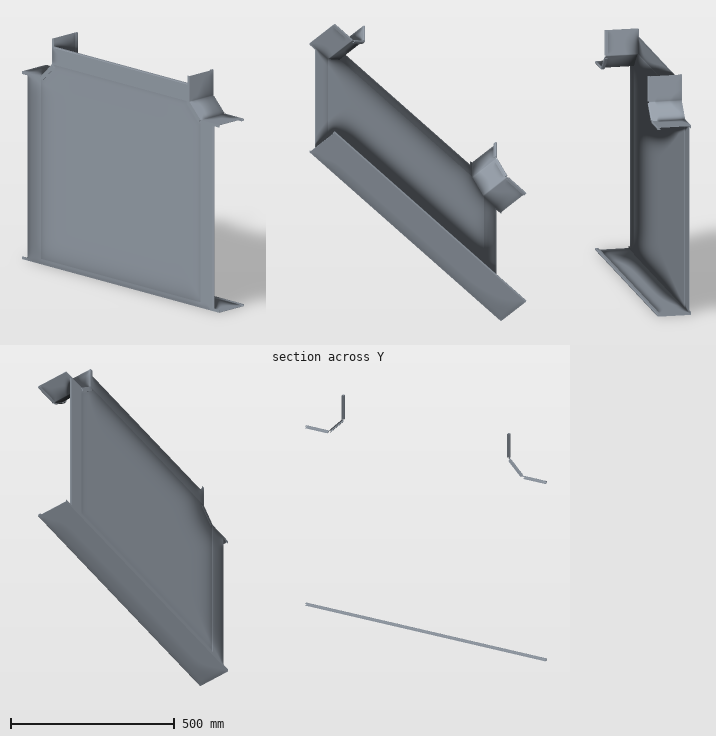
import cadquery as cq
import math

length = 854.0
depth = 107.0
height = 725.0

sheet = 1.45
hem_height = 8.0
hem_return = 10.0
hem_gap = 2.5
arm_flange = 8.5
foot_flange = 17.0
corner_flange = 14.0

arm = 81.0
slant = 48.0
bend_radius = 3.0

tongue = 58.0
lip = 5.0
lip_drop = sheet / 2
shoulder = 7.0

half_length = length / 2
knee_x = half_length - arm
neck_x = knee_x - slant
knee_z = height - arm - slant
neck_z = height - arm
rim_start_y = depth - hem_height / 2
miter = sheet * math.tan(math.pi / 8)


def block(x_range, y_range, z_range):
    """Box between the given limits."""
    spans = [high - low for low, high in (x_range, y_range, z_range)]
    return cq.Workplane("XY").box(*spans, centered=False).translate((x_range[0], y_range[0], z_range[0]))


def front_plate(points, y_start):
    """Sheet lying in an XZ plane and growing towards +Y from y_start."""
    return cq.Workplane("XZ", origin=(0, y_start, 0)).polyline(points).close().extrude(-sheet)


def mirrored(points):
    """The same XZ points on the other side of X = 0, in reverse order."""
    return [(-x, z) for x, z in reversed(points)]


def rim(run):
    """Hem along X: starts at the origin on the wall's outer face (local Y = 0 side) and curls to local +Z."""
    outer = hem_height / 2
    inner = outer - sheet
    end_y = depth - hem_return
    return (
        cq.Workplane("YZ")
        .moveTo(end_y, 0)
        .lineTo(rim_start_y, 0)
        .threePointArc((depth, outer), (rim_start_y, hem_height))
        .lineTo(end_y, hem_height)
        .lineTo(end_y, hem_height - sheet)
        .lineTo(rim_start_y, hem_height - sheet)
        .threePointArc((rim_start_y + inner, outer), (rim_start_y, sheet))
        .lineTo(end_y, sheet)
        .close()
        .extrude(run)
    )


def placed_rim(start, run, angle):
    """Rim that starts at an XZ point and runs at an angle above +X, curling to the left of that direction."""
    return rim(run).rotate((0, 0, 0), (0, 1, 0), -angle).translate((start[0], 0, start[1]))


def make_foot():
    wall = block((-half_length, half_length), (0, rim_start_y), (0, sheet))
    flange = block((-knee_x, knee_x), (0, sheet), (0, foot_flange))
    flange = flange.union(block((-half_length, half_length), (0, sheet), (0, arm_flange)))
    return wall.union(flange).union(placed_rim((-half_length, 0), length, 0))


def along_y_at(x, z):
    """Selector for the edge of a side wall that runs along Y through the given XZ point."""
    reach = sheet / 4
    return cq.selectors.BoxSelector((x - reach, 0, z - reach), (x + reach, depth, z + reach))


def make_right_corner():
    outline = [
        (half_length, knee_z),
        (knee_x, knee_z),
        (neck_x, neck_z),
        (neck_x, height),
        (neck_x - sheet, height),
        (neck_x - sheet, neck_z - miter),
        (knee_x - miter, knee_z - sheet),
        (half_length, knee_z - sheet),
    ]
    wall = cq.Workplane("XZ").polyline(outline).close().extrude(-rim_start_y)
    for x, z in (outline[1], outline[2]):
        wall = wall.edges(along_y_at(x, z)).fillet(bend_radius)
    for x, z in (outline[5], outline[6]):
        wall = wall.edges(along_y_at(x, z)).fillet(bend_radius + sheet)
    inset = corner_flange / math.sqrt(2)
    flange = front_plate(
        [
            (knee_x, knee_z),
            (neck_x, neck_z),
            (neck_x - inset, neck_z - inset),
            (knee_x - inset, knee_z - inset),
        ],
        0,
    )
    flange = flange.union(
        block((knee_x + shoulder, half_length), (0, sheet), (knee_z - arm_flange, knee_z))
    )
    flange = flange.union(
        block((neck_x - arm_flange, neck_x), (0, sheet), (neck_z + shoulder, height))
    )
    slant_run = math.hypot(slant, slant)
    gap_leg = hem_gap / math.sqrt(2)
    corner = wall.union(flange)
    corner = corner.union(placed_rim((half_length, knee_z), arm - hem_gap, 180))
    corner = corner.union(placed_rim((knee_x - gap_leg, knee_z + gap_leg), slant_run - 2 * hem_gap, 135))
    return corner.union(placed_rim((neck_x, neck_z + hem_gap), arm - hem_gap, 90))


def tongue_lip(run):
    """Set-back edge strip: runs along local X from the origin and reaches lip along local +Z."""
    ramp = lip / 2
    return (
        cq.Workplane("YZ")
        .polyline(
            [
                (0, 0),
                (lip_drop, ramp),
                (lip_drop, lip),
                (lip_drop + sheet, lip),
                (lip_drop + sheet, ramp),
                (sheet, 0),
            ]
        )
        .close()
        .extrude(run)
    )


def make_base():
    step_x = knee_x + sheet
    step_z = neck_z + sheet
    top_x = neck_x - sheet
    side_z = knee_z - sheet
    right = [
        (step_x, sheet),
        (step_x, side_z),
        (knee_x - miter, side_z),
        (top_x, neck_z - miter),
        (top_x, step_z),
    ]
    base = front_plate(right + mirrored(right), sheet)

    side_front_x = knee_x + tongue - lip
    arm_z = knee_z - arm_flange
    side_outline = [
        (knee_x, arm_flange),
        (side_front_x, arm_flange),
        (side_front_x, arm_z),
        (knee_x + shoulder, arm_z),
        (knee_x + shoulder, side_z),
        (knee_x, side_z),
    ]
    side = front_plate(side_outline, 0)
    side_lip = tongue_lip(arm_z - arm_flange).rotate((0, 0, 0), (0, 1, 0), 90)
    side = side.union(side_lip.translate((side_front_x, 0, arm_z)))

    top_front_z = neck_z + tongue - lip
    clear_x = neck_x - arm_flange
    top_right = [
        (top_x, neck_z),
        (top_x, neck_z + shoulder),
        (clear_x, neck_z + shoulder),
        (clear_x, top_front_z),
    ]
    top = front_plate(top_right + mirrored(top_right), 0)
    top = top.union(tongue_lip(2 * clear_x).translate((-clear_x, 0, top_front_z)))
    return base.union(side).union(side.mirror("YZ")).union(top)


base = make_base()
foot = make_foot()
right_corner = make_right_corner()
left_corner = right_corner.mirror("YZ")

result = cq.Compound.makeCompound([base.val(), foot.val(), right_corner.val(), left_corner.val()])